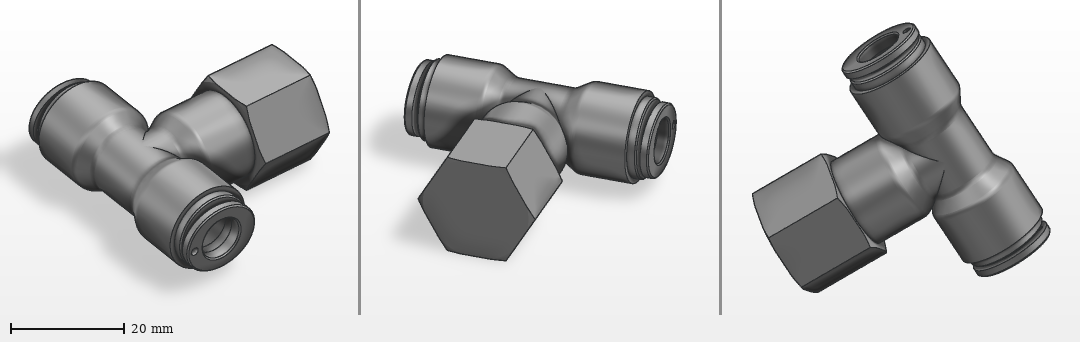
import cadquery as cq
import math

arm_length = 18.8
arm_radius = 16.7 / 2
waist_radius = 13.02 / 2
cone_start = 5.65
cone_angle = 30.0
blend_radius = 2.0
through_radius = 6.0 / 2

tube_radius = 8.2 / 2
tube_stop = 9.15

collar_radius = 14.7 / 2
collar_end = 20.5
rim_chamfer = 0.27

neck_radius = 9.6 / 2
flange_start = 21.35
button_end = 22.85
flange_half_y = 15.15 / 2
flange_half_z = 13.02 / 2
mouth_chamfer = 0.27
mark_radius = 1.5 / 2
mark_offset = 6.0

hex_flats = 19.0
hex_length = 15.0
hex_face_radius = 9.85
hex_chamfer_angle = 18.0


def cylinder(radius, start, end):
    """Solid cylinder around the X axis between two distances from the origin."""
    return cq.Workplane("YZ").workplane(offset=start).circle(radius).extrude(end - start)


def make_arm():
    """One solid arm of the tee, along +X."""
    cone_end = cone_start + (arm_radius - waist_radius) / math.tan(math.radians(cone_angle))
    tangent = blend_radius * math.tan(math.radians(cone_angle / 2))
    along = tangent * math.cos(math.radians(cone_angle))
    outward = tangent * math.sin(math.radians(cone_angle))
    mid_along = blend_radius * math.sin(math.radians(cone_angle / 2))
    mid_outward = blend_radius * (1 - math.cos(math.radians(cone_angle / 2)))
    return (
        cq.Workplane("XY")
        .lineTo(0, waist_radius)
        .lineTo(cone_start - tangent, waist_radius)
        .threePointArc(
            (cone_start - tangent + mid_along, waist_radius + mid_outward),
            (cone_start + along, waist_radius + outward),
        )
        .lineTo(cone_end - along, arm_radius - outward)
        .threePointArc(
            (cone_end + tangent - mid_along, arm_radius - mid_outward),
            (cone_end + tangent, arm_radius),
        )
        .lineTo(arm_length, arm_radius)
        .lineTo(arm_length, 0)
        .close()
        .revolve(360, (0, 0, 0), (1, 0, 0))
    )


def mirror_copies(body):
    """The +X copy of a body and its mirror image on the -X side."""
    return [body, body.mirror("YZ")]


def make_tee():
    """Three arms with one straight passage along X and a wider tube socket at each end."""
    arm = make_arm()
    tee = arm
    for turn in (90, 180):
        tee = tee.union(arm.rotate((0, 0, 0), (0, 0, 1), turn))
    tee = tee.cut(cylinder(through_radius, -arm_length, arm_length))
    socket = cylinder(tube_radius, tube_stop, arm_length)
    for side_socket in mirror_copies(socket):
        tee = tee.cut(side_socket)
    return tee


def make_collar():
    """Ring on the +X arm, with its outer rim chamfered."""
    collar = cylinder(collar_radius, arm_length, collar_end).faces(">X").chamfer(rim_chamfer)
    return collar.cut(cylinder(tube_radius, arm_length, collar_end))


def make_button():
    """Release button on the +X arm, with a small round mark hole through its flange."""
    flange = (
        cq.Workplane("YZ")
        .workplane(offset=flange_start)
        .ellipse(flange_half_y, flange_half_z)
        .extrude(button_end - flange_start)
        .faces(">X")
        .chamfer(rim_chamfer)
    )
    button = flange.union(cylinder(neck_radius, collar_end, flange_start))
    button = button.cut(cylinder(tube_radius, collar_end, button_end))
    mouth = cq.Solid.makeCone(
        tube_radius,
        tube_radius + mouth_chamfer,
        mouth_chamfer,
        cq.Vector(button_end - mouth_chamfer, 0, 0),
        cq.Vector(1, 0, 0),
    )
    mark_hole = cylinder(mark_radius, flange_start, button_end).translate((0, -mark_offset, 0))
    return button.cut(cq.Workplane(mouth)).cut(mark_hole)


def make_hex_adapter():
    """Hexagon along +Y with flats facing +Z and -Z, its corners chamfered at both ends."""
    corner_radius = hex_flats / math.sqrt(3)
    chamfer_depth = (corner_radius - hex_face_radius) * math.tan(math.radians(hex_chamfer_angle))
    hexagon = (
        cq.Workplane("XZ", origin=(0, arm_length, 0))
        .polygon(6, 2 * corner_radius)
        .extrude(-hex_length)
    )
    hex_end = arm_length + hex_length
    envelope = (
        cq.Workplane("XY")
        .moveTo(0, arm_length)
        .lineTo(hex_face_radius, arm_length)
        .lineTo(corner_radius, arm_length + chamfer_depth)
        .lineTo(corner_radius, hex_end - chamfer_depth)
        .lineTo(hex_face_radius, hex_end)
        .lineTo(0, hex_end)
        .close()
        .revolve(360, (0, 0, 0), (0, 1, 0))
    )
    return hexagon.intersect(envelope)


tee = make_tee()
hex_adapter = make_hex_adapter()
collars = mirror_copies(make_collar())
buttons = mirror_copies(make_button())

result = cq.Compound.makeCompound(
    [tee.val(), hex_adapter.val()]
    + [collar.val() for collar in collars]
    + [button.val() for button in buttons]
)